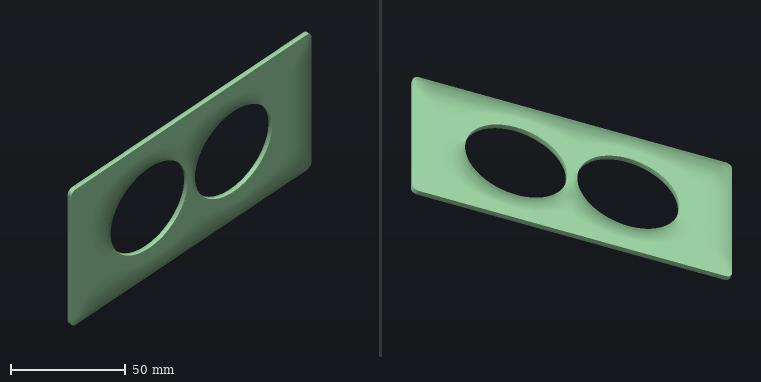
import cadquery as cq

THICKNESS = 2.2
LENGTH = 148.0
HEIGHT = 80.0
CORNER_RADIUS = 3.0

OPENING_DIAMETER = 47.5
OPENING_SPACING = 52.0


def make_plate():
    """Flat rectangular plate with rounded corners, centred on the origin."""
    plate = cq.Workplane("XY").box(THICKNESS, LENGTH, HEIGHT)
    return plate.edges("|X").fillet(CORNER_RADIUS)


def cut_openings(plate):
    """Cut the pair of through openings side by side along Y."""
    half_spacing = OPENING_SPACING / 2
    centers = [(-half_spacing, 0), (half_spacing, 0)]
    return plate.faces(">X").workplane().pushPoints(centers).hole(OPENING_DIAMETER)


result = cut_openings(make_plate())